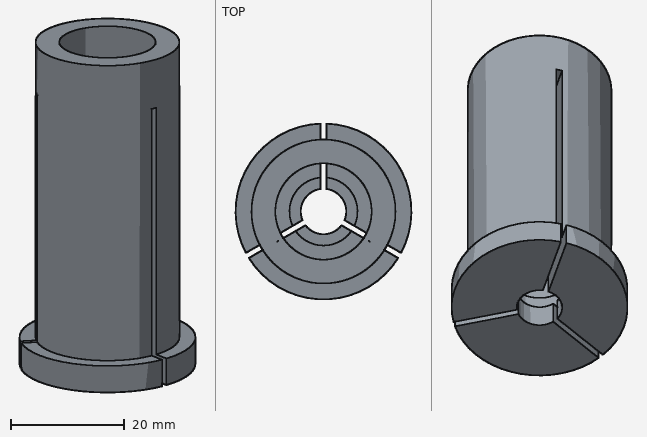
import cadquery as cq

TOTAL_HEIGHT = 60.0
FLANGE_DIAMETER = 31.0
FLANGE_HEIGHT = 5.0
SLEEVE_DIAMETER = 25.4

MAIN_BORE_DIAMETER = 17.0
MIDDLE_BORE_DIAMETER = 12.0
THROUGH_BORE_DIAMETER = 8.0
MIDDLE_BORE_FLOOR = FLANGE_HEIGHT
MAIN_BORE_FLOOR = 2 * FLANGE_HEIGHT

SLIT_COUNT = 3
SLIT_WIDTH = 1.0
SLIT_TOP = 51.0
FIRST_SLIT_ANGLE = 90.0


def cylinder(diameter, bottom, top):
    """Vertical cylinder on the Z axis between two heights."""
    return cq.Workplane("XY").workplane(offset=bottom).circle(diameter / 2).extrude(top - bottom)


def flanged_sleeve():
    """Solid sleeve standing on its base flange."""
    flange = cylinder(FLANGE_DIAMETER, 0, FLANGE_HEIGHT)
    sleeve = cylinder(SLEEVE_DIAMETER, 0, TOTAL_HEIGHT)
    return flange.union(sleeve)


def stepped_bore():
    """Material removed by the three concentric bores."""
    through_bore = cylinder(THROUGH_BORE_DIAMETER, 0, TOTAL_HEIGHT)
    middle_bore = cylinder(MIDDLE_BORE_DIAMETER, MIDDLE_BORE_FLOOR, TOTAL_HEIGHT)
    main_bore = cylinder(MAIN_BORE_DIAMETER, MAIN_BORE_FLOOR, TOTAL_HEIGHT)
    return through_bore.union(middle_bore).union(main_bore)


def slit(angle):
    """Thin radial cutter from the axis out past the flange rim, open at the bottom."""
    cutter = cq.Workplane("XY").box(FLANGE_DIAMETER, SLIT_WIDTH, SLIT_TOP, centered=(False, True, False))
    return cutter.rotate((0, 0, 0), (0, 0, 1), angle)


result = flanged_sleeve().cut(stepped_bore())
for index in range(SLIT_COUNT):
    result = result.cut(slit(FIRST_SLIT_ANGLE + index * 360 / SLIT_COUNT))